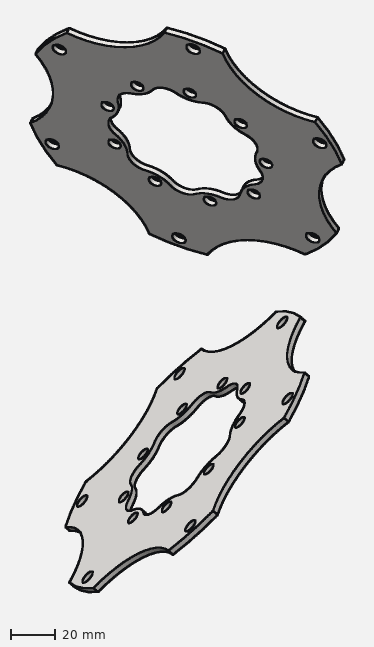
import cadquery as cq
import math

OUTER_RADIUS = 80.0
THICKNESS = 3.0
PATTERN_ANGLE = 87.3

ARM_COUNT = 6
ARM_PITCH = 360 / ARM_COUNT
ARM_HALF_ANGLE = 10.3
SCALLOP_FLOOR_RADIUS = 65.5
ARM_HOLE_CIRCLE_RADIUS = 73.9
ARM_HOLE_DIAMETER = 6.5

WAVE_COUNT = 9
WAVE_PITCH = 360 / WAVE_COUNT
WAVE_CREST_RADIUS = 34.2
WAVE_LOBE_RADIUS = 38.4
CREST_ARC_RADIUS = 15.2
INNER_HOLE_CIRCLE_RADIUS = 39.5
INNER_HOLE_DIAMETER = 6.0


def polar(radius, angle):
    """Point at a radius and an angle measured from the first arm."""
    direction = math.radians(PATTERN_ANGLE + angle)
    return radius * math.cos(direction), radius * math.sin(direction)


def extrude_plate(outline):
    return outline.extrude(-THICKNESS)


def arm_plate():
    outline = cq.Workplane("XZ").moveTo(*polar(OUTER_RADIUS, -ARM_HALF_ANGLE))
    for i in range(ARM_COUNT):
        arm = i * ARM_PITCH
        next_arm_start = arm + ARM_PITCH - ARM_HALF_ANGLE
        outline = outline.threePointArc(
            polar(OUTER_RADIUS, arm), polar(OUTER_RADIUS, arm + ARM_HALF_ANGLE)
        )
        outline = outline.threePointArc(
            polar(SCALLOP_FLOOR_RADIUS, arm + ARM_PITCH / 2),
            polar(OUTER_RADIUS, next_arm_start),
        )
    return extrude_plate(outline.close())


def wavy_opening():
    half_pitch = math.radians(WAVE_PITCH / 2)
    crest_center = WAVE_CREST_RADIUS + CREST_ARC_RADIUS

    lobe_arc_radius = (
        WAVE_LOBE_RADIUS**2
        + crest_center**2
        - 2 * WAVE_LOBE_RADIUS * crest_center * math.cos(half_pitch)
        - CREST_ARC_RADIUS**2
    ) / (2 * (WAVE_LOBE_RADIUS - crest_center * math.cos(half_pitch) + CREST_ARC_RADIUS))
    lobe_center = WAVE_LOBE_RADIUS - lobe_arc_radius

    share = CREST_ARC_RADIUS / (CREST_ARC_RADIUS + lobe_arc_radius)
    along = crest_center + share * (lobe_center * math.cos(half_pitch) - crest_center)
    across = share * lobe_center * math.sin(half_pitch)
    tangent_radius = math.hypot(along, across)
    tangent_angle = math.degrees(math.atan2(across, along))

    outline = cq.Workplane("XZ").moveTo(*polar(tangent_radius, -tangent_angle))
    for i in range(WAVE_COUNT):
        crest = i * WAVE_PITCH
        outline = outline.threePointArc(
            polar(WAVE_CREST_RADIUS, crest), polar(tangent_radius, crest + tangent_angle)
        )
        outline = outline.threePointArc(
            polar(WAVE_LOBE_RADIUS, crest + WAVE_PITCH / 2),
            polar(tangent_radius, crest + WAVE_PITCH - tangent_angle),
        )
    return extrude_plate(outline.close())


def hole_ring(count, circle_radius, diameter):
    centers = [polar(circle_radius, i * 360 / count) for i in range(count)]
    return extrude_plate(cq.Workplane("XZ").pushPoints(centers).circle(diameter / 2))


result = (
    arm_plate()
    .cut(wavy_opening())
    .cut(hole_ring(ARM_COUNT, ARM_HOLE_CIRCLE_RADIUS, ARM_HOLE_DIAMETER))
    .cut(hole_ring(WAVE_COUNT, INNER_HOLE_CIRCLE_RADIUS, INNER_HOLE_DIAMETER))
)